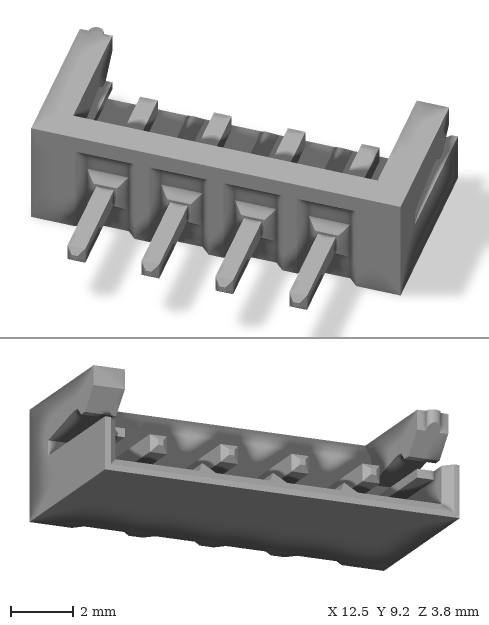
import cadquery as cq

LENGTH = 12.5
DEPTH = 6.0
HEIGHT = 3.8

PIN_COUNT = 4
PITCH = 2.5
PIN_SIZE = 0.6
PIN_TIP = 0.2
PIN_AXIS_Z = 1.6
PIN_START_Y = -3.2
PIN_END_Y = 4.8
PIN_XS = [PITCH * (i - (PIN_COUNT - 1) / 2) for i in range(PIN_COUNT)]

SIDE_WALL_HEIGHT = 1.8
ARM_THICKNESS = 1.1
ARM_END_Y = 5.1
BACK_WALL_TOP = 1.0
BACK_WALL = 1.5
BACK_SLOPE_END_Z = 3.15
FLOOR = 0.5
SIDE_WALL = 0.5
RAIL_BOTTOM_Z = 1.5
MOUTH_CHAMFER = 0.3
RIDGE_WIDTH = 0.6
RIDGE_HEIGHT = 0.42

SLOT_BACK_Z = 2.32
ARM_UNDERSIDE_Z = 2.7
HOOK_Z = 2.42
ARM_TAPER_END_Y = 3.45
HOOK_START_Y = 4.1
HOOK_END_Y = 4.4
BUMP_RADIUS = 0.25

RECESS_WIDTH = 2.0
RECESS_TOP_Z = 3.2
RECESS_DEPTH = 0.3
BOSS_SIZE = RECESS_WIDTH - 2 * RECESS_DEPTH


def box(x_range, y_range, z_range):
    """Axis-aligned box between the given limits."""
    size = [high - low for low, high in (x_range, y_range, z_range)]
    corner = (x_range[0], y_range[0], z_range[0])
    return cq.Workplane("XY").box(*size, centered=False).translate(corner)


def extrude_along_x(points, x_start, x_end):
    """Prism from a (y, z) outline."""
    return cq.Workplane("YZ", origin=(x_start, 0, 0)).polyline(points).close().extrude(x_end - x_start)


def frustum_along_y(rect_start, y_start, rect_end, y_end):
    """Tapered block between two (x centre, z centre, width, height) rectangles."""
    wires = []
    for (x, z, width, height), y in ((rect_start, y_start), (rect_end, y_end)):
        corners = [
            cq.Vector(x - width / 2, y, z - height / 2),
            cq.Vector(x + width / 2, y, z - height / 2),
            cq.Vector(x + width / 2, y, z + height / 2),
            cq.Vector(x - width / 2, y, z + height / 2),
        ]
        wires.append(cq.Wire.makePolygon(corners, close=True))
    return cq.Workplane(obj=cq.Solid.makeLoft(wires, True))


def latch_slot():
    """Space below both latch arms, open at the mating side."""
    bump_end_y = ARM_END_Y + BUMP_RADIUS
    hook_nose_z = HOOK_Z + bump_end_y - HOOK_END_Y
    outline = [
        (BACK_WALL, SIDE_WALL_HEIGHT),
        (BACK_WALL, SLOT_BACK_Z),
        (ARM_TAPER_END_Y, ARM_UNDERSIDE_Z),
        (HOOK_START_Y - (ARM_UNDERSIDE_Z - HOOK_Z), ARM_UNDERSIDE_Z),
        (HOOK_START_Y, HOOK_Z),
        (HOOK_END_Y, HOOK_Z),
        (bump_end_y, hook_nose_z),
        (DEPTH, hook_nose_z),
        (DEPTH, SIDE_WALL_HEIGHT),
    ]
    return extrude_along_x(outline, -LENGTH / 2, LENGTH / 2)


def space_beyond_arms():
    """Space past the arm ends, leaving a half-round bump on the -X arm."""
    space = box((-LENGTH / 2, LENGTH / 2), (ARM_END_Y, DEPTH), (SIDE_WALL_HEIGHT, HEIGHT))
    bump_x = -(LENGTH - ARM_THICKNESS) / 2
    bump = cq.Workplane("XY").center(bump_x, ARM_END_Y).circle(BUMP_RADIUS).extrude(HEIGHT)
    return space.cut(bump)


def mating_cavity():
    """Cavity between the arms, wider below and beyond the side rails."""
    half_opening = LENGTH / 2 - ARM_THICKNESS
    half_cavity = LENGTH / 2 - SIDE_WALL
    opening_outline = [
        (BACK_WALL, FLOOR),
        (BACK_WALL, BACK_SLOPE_END_Z),
        (BACK_WALL_TOP, HEIGHT),
        (DEPTH, HEIGHT),
        (DEPTH, FLOOR),
    ]
    opening = extrude_along_x(opening_outline, -half_opening, half_opening)
    below_rails = box((-half_cavity, half_cavity), (BACK_WALL, DEPTH), (FLOOR, RAIL_BOTTOM_Z))
    past_rails = box((-half_cavity, half_cavity), (ARM_END_Y, DEPTH), (FLOOR, SIDE_WALL_HEIGHT))
    return opening.union(below_rails).union(past_rails)


def mouth_flare():
    """45 degree lead-in on the floor and both sides of the cavity mouth."""
    width = LENGTH - 2 * SIDE_WALL
    height = 2 * (SIDE_WALL_HEIGHT - FLOOR)
    grow = 2 * MOUTH_CHAMFER
    inner = (0, SIDE_WALL_HEIGHT, width, height)
    outer = (0, SIDE_WALL_HEIGHT, width + grow, height + grow)
    return frustum_along_y(inner, DEPTH - MOUTH_CHAMFER, outer, DEPTH)


def floor_ridge(x):
    """Triangular rib on the cavity floor between two pins, its end bevelled at 45 degrees."""
    section = [
        (x - RIDGE_WIDTH / 2, FLOOR),
        (x, FLOOR + RIDGE_HEIGHT),
        (x + RIDGE_WIDTH / 2, FLOOR),
        (x + RIDGE_WIDTH / 2, 0),
        (x - RIDGE_WIDTH / 2, 0),
    ]
    ridge = cq.Workplane("XZ").polyline(section).close().extrude(-DEPTH)
    bevel_foot_y = DEPTH - MOUTH_CHAMFER
    side_outline = [
        (BACK_WALL, 0),
        (BACK_WALL, FLOOR + RIDGE_HEIGHT),
        (bevel_foot_y - RIDGE_HEIGHT, FLOOR + RIDGE_HEIGHT),
        (bevel_foot_y, FLOOR),
        (bevel_foot_y, 0),
    ]
    return ridge.intersect(extrude_along_x(side_outline, x - RIDGE_WIDTH / 2, x + RIDGE_WIDTH / 2))


def solder_recess(x):
    """Tapered recess, open at the underside, around a tapered pin boss."""
    outer = (x, 0, RECESS_WIDTH, 2 * RECESS_TOP_Z)
    inner = (x, 0, BOSS_SIZE, 2 * (RECESS_TOP_Z - RECESS_DEPTH))
    recess = frustum_along_y(outer, 0, inner, RECESS_DEPTH)
    boss_end = BOSS_SIZE - 2 * RECESS_DEPTH
    boss_front = (x, PIN_AXIS_Z, boss_end, boss_end)
    boss_root = (x, PIN_AXIS_Z, BOSS_SIZE, BOSS_SIZE)
    return recess.cut(frustum_along_y(boss_front, 0, boss_root, RECESS_DEPTH))


def pin(x):
    """Square pin with both ends chamfered."""
    half = PIN_SIZE / 2
    bar = box(
        (x - half, x + half),
        (PIN_START_Y, PIN_END_Y),
        (PIN_AXIS_Z - half, PIN_AXIS_Z + half),
    )
    return bar.faces("<Y or >Y").chamfer(PIN_TIP)


housing = box((-LENGTH / 2, LENGTH / 2), (0, DEPTH), (0, HEIGHT))
housing = housing.cut(latch_slot()).cut(space_beyond_arms()).cut(mating_cavity()).cut(mouth_flare())

for left_x, right_x in zip(PIN_XS, PIN_XS[1:]):
    housing = housing.union(floor_ridge((left_x + right_x) / 2))

for pin_x in PIN_XS:
    housing = housing.cut(solder_recess(pin_x)).union(pin(pin_x))

result = housing